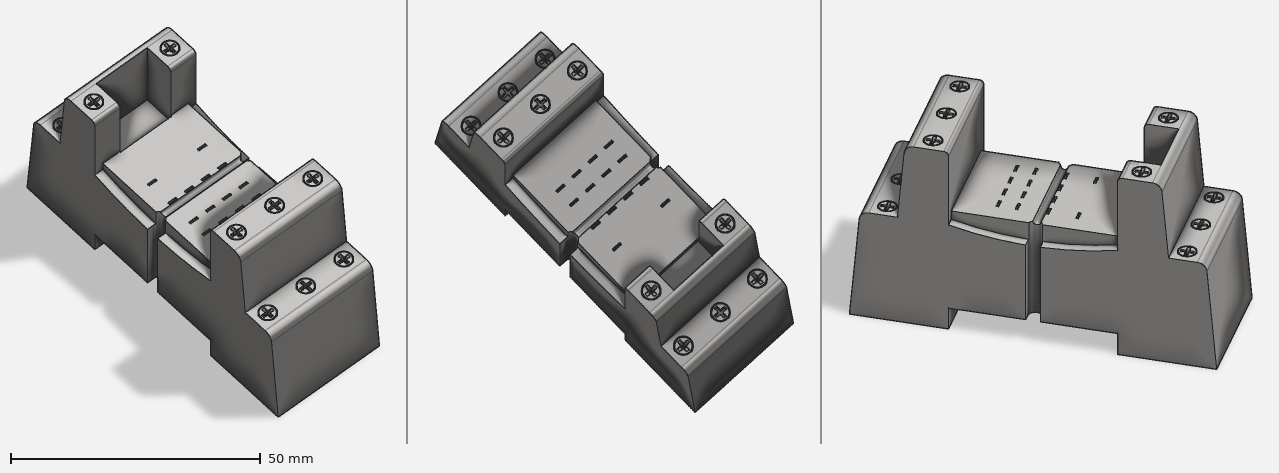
import cadquery as cq
import math

length = 76.3
width = 27.0
height = 42.5
draft = math.radians(5)

shoulder_z = 25.0
tower_base_x = 28.15
tower_inner_x = 17.55
recess_height = 5.0
outer_radius = 2.0
inner_radius = 1.0

plateau_z = 27.0
ledge_width = 2.1
ledge_low_z = 23.0

side_groove_radius = 1.5
side_groove_depth = 3.1
top_groove_radius = 0.85

pocket_width = 13.6
pocket_outer_x = 24.7
pocket_inner_x = 17.3
pocket_floor_z = shoulder_z

screw_pitch = 10.15
shoulder_screw_x = 31.1
tower_screw_x = 21.7
screw_hole_diameter = 4.0
screw_head_diameter = 3.5
screw_gap_depth = 1.0
cross_span = 2.75
cross_slot_width = 0.7
cross_depth = 1.4

contact_width = 0.5
contact_length = 2.05
contact_depth = 2.0
contact_rows = 4
contact_pitch = 4.4
contact_center_y = -0.4
full_column_xs = (-1.3, 5.1, 9.1)
end_pair_x = -7.5


def box(x_min, x_max, y_size, z_min, z_max):
    """Block centered on Y = 0 between the given X and Z limits."""
    return (
        cq.Workplane("XY", origin=((x_min + x_max) / 2, 0, z_min))
        .box(x_max - x_min, y_size, z_max - z_min, centered=(True, True, False))
    )


def make_end_block():
    """Right-hand shoulder and tower, as deep as the whole part."""
    shoulder_x = length / 2 - shoulder_z * math.tan(draft)
    tower_top_x = tower_base_x - (height - shoulder_z) * math.tan(draft)
    block = (
        cq.Workplane("XZ", origin=(0, width / 2, 0))
        .moveTo(tower_inner_x, 0)
        .lineTo(length / 2, 0)
        .lineTo(shoulder_x, shoulder_z)
        .lineTo(tower_base_x, shoulder_z)
        .lineTo(tower_top_x, height)
        .lineTo(tower_inner_x, height)
        .close()
        .extrude(width)
    )
    for x, z in ((shoulder_x, shoulder_z), (tower_top_x, height)):
        block = block.edges(cq.selectors.NearestToPointSelector((x, 0, z))).fillet(outer_radius)
    inner_edge = cq.selectors.NearestToPointSelector((tower_inner_x, 0, height))
    return block.edges(inner_edge).fillet(inner_radius)


def make_middle():
    """Bridge with dished side ledges, carrying the narrower plateau."""
    bridge = (
        cq.Workplane("XZ", origin=(0, width / 2, 0))
        .moveTo(-tower_inner_x, recess_height)
        .lineTo(tower_inner_x, recess_height)
        .lineTo(tower_inner_x, shoulder_z)
        .threePointArc((0, ledge_low_z), (-tower_inner_x, shoulder_z))
        .close()
        .extrude(width)
    )
    plateau_width = width - 2 * ledge_width
    return bridge.union(box(-tower_inner_x, tower_inner_x, plateau_width, recess_height, plateau_z))


def make_side_groove(side):
    """Round-bottomed vertical groove in the +Y or -Y face."""
    straight = side_groove_depth - side_groove_radius
    center_y = width / 2 - straight
    round_end = cq.Workplane("XY").center(0, side * center_y).circle(side_groove_radius).extrude(height)
    mouth = (
        cq.Workplane("XY")
        .center(0, side * (center_y + straight / 2))
        .rect(2 * side_groove_radius, straight)
        .extrude(height)
    )
    return round_end.union(mouth)


def make_top_groove():
    """Half-round groove across the plateau."""
    return (
        cq.Workplane("XZ", origin=(0, width / 2, 0))
        .center(0, plateau_z)
        .circle(top_groove_radius)
        .extrude(width)
    )


def make_cross(pointed):
    """Driver cross cut down from Z = 0: V-shaped arms if pointed, else a flat floor."""
    half_span = cross_span / 2
    if pointed:
        floor = [(0, -cross_depth)]
    else:
        floor = [(half_span, -cross_depth), (-half_span, -cross_depth)]
    slot = (
        cq.Workplane("XZ", origin=(0, cross_slot_width / 2, 0))
        .polyline([(-half_span, 0), (half_span, 0)] + floor)
        .close()
        .extrude(cross_slot_width)
    )
    return slot.union(slot.rotate((0, 0, 0), (0, 0, 1), 90))


def make_screw_recess(x, y, z, pointed):
    """Material removed around and inside one screw head flush with height z."""
    gap = (
        cq.Workplane("XY")
        .circle(screw_hole_diameter / 2)
        .circle(screw_head_diameter / 2)
        .extrude(-screw_gap_depth)
    )
    return gap.add(make_cross(pointed)).combine().translate((x, y, z))


def contact_points():
    """Centers of the contact slots: three full columns and one end pair."""
    first_y = contact_center_y - (contact_rows - 1) / 2 * contact_pitch
    ys = [first_y + row * contact_pitch for row in range(contact_rows)]
    points = [(x, y) for x in full_column_xs for y in ys]
    return points + [(end_pair_x, ys[0]), (end_pair_x, ys[-1])]


end_block = make_end_block()
body = make_middle().union(end_block).union(end_block.mirror("YZ"))

for side in (-1, 1):
    body = body.cut(make_side_groove(side))
body = body.cut(make_top_groove())
body = body.cut(box(-pocket_outer_x, -pocket_inner_x, pocket_width, pocket_floor_z, height))

for row in (-1, 0, 1):
    y = row * screw_pitch
    is_end_row = row != 0
    for side in (-1, 1):
        body = body.cut(make_screw_recess(side * shoulder_screw_x, y, shoulder_z, is_end_row))
    body = body.cut(make_screw_recess(tower_screw_x, y, height, is_end_row))
    if is_end_row:
        body = body.cut(make_screw_recess(-tower_screw_x, y, height, is_end_row))

contacts = (
    cq.Workplane("XY", origin=(0, 0, plateau_z))
    .pushPoints(contact_points())
    .rect(contact_width, contact_length)
    .extrude(-contact_depth)
)
result = body.cut(contacts)